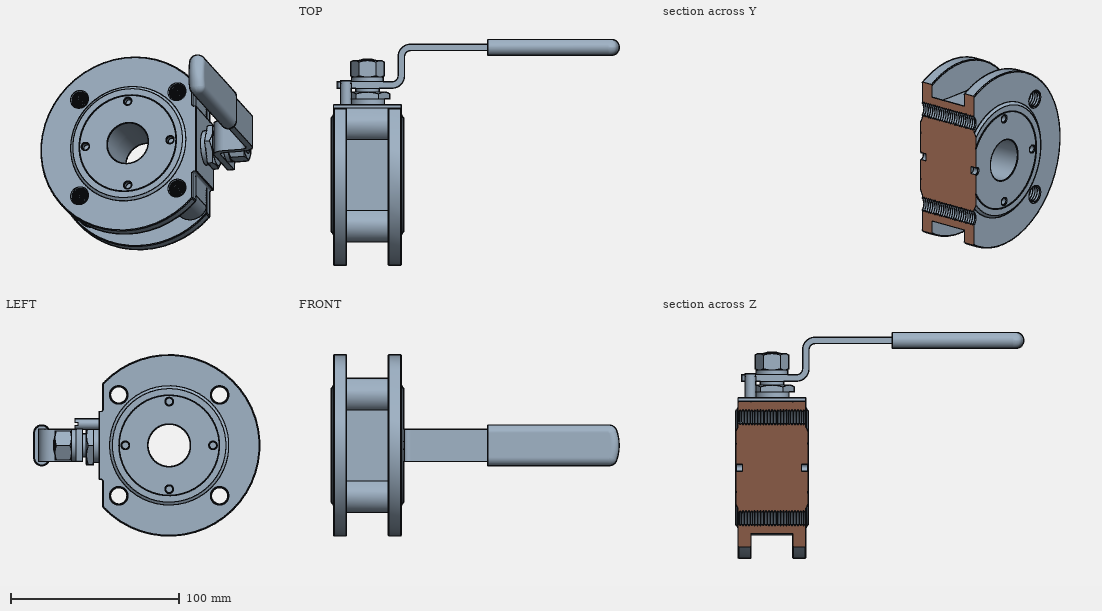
import cadquery as cq
import math


FLANGE_DIAMETER = 108.0
FLANGE_OUTER_X = 20.2
FLANGE_INNER_X = 12.3
FLANGE_FLAT_Y = 39.6
FLANGE_EDGE = 0.5
RAISED_FACE_X = 21.6
RAISED_FACE_DIAMETER = 71.0
RAISED_FACE_CHAMFER = 1.2
RAISED_FACE_CHAMFER_RADIAL = 1.7
CORE_HALF_SIZE = 34.6
BORE_DIAMETER = 25.0
BORE_CHAMFER = 0.3

SEAT_DIAMETER = 60.0
SEAT_GROOVE_WIDTH = 0.3
SEAT_GROOVE_DEPTH = 0.3
SPANNER_HOLE_DIAMETER = 4.1
SPANNER_HOLE_DEPTH = 4.0
SPANNER_HOLE_CHAMFER = 0.5
SPANNER_CIRCLE_RADIUS = 26.0

BOLT_OFFSET = 30.0
BOLT_PLACES = [(y, z) for y in (-BOLT_OFFSET, BOLT_OFFSET) for z in (-BOLT_OFFSET, BOLT_OFFSET)]
BOSS_DIAMETER = 20.0
THREAD_MINOR_DIAMETER = 9.6
THREAD_MAJOR_DIAMETER = 12.0
THREAD_PITCH = 1.7

PAD_TOP_Y = 41.8
PAD_EDGE = 0.3
PAD_ROOT_RADIUS = 0.9
PAD_HALF_Z = 20.2
GLAND_TOP_Y = 45.1
GLAND_DIAMETER = 20.5
LOCK_NUT_TOP_Y = 49.4
LOCK_NUT_ACROSS_FLATS = 23.1
COLLAR_DIAMETER = 14.0
LEVER_BOTTOM_Y = 51.5
LEVER_THICKNESS = 4.0
LEVER_TOP_Y = LEVER_BOTTOM_Y + LEVER_THICKNESS
WASHER_TOP_Y = 58.1
WASHER_DIAMETER = 19.0
TOP_NUT_TOP_Y = 67.9
TOP_NUT_ACROSS_FLATS = 17.3
NUT_CHAMFER_ANGLE = math.radians(30)
LOCK_NUT_CHAMFER = 2.2
TOP_NUT_CHAMFER = 1.4
STEM_TOP_Y = 68.7
STEM_DIAMETER = 10.3
STEM_TIP_CHAMFER = 0.7
STEM_TIP_DIAMETER = 5.1

PIN_DIAMETER = 6.5
PIN_X = -12.9
PIN_Z = 12.7
PIN_TOP_Y = 56.0
PIN_SLOT_WIDTH = 1.7
PIN_SLOT_DEPTH = 1.7

LEVER_WIDTH = 19.2
LEVER_END_X = -18.2
LEVER_END_RADIUS = 44.5
LEVER_END_FILLET = 0.9
RISER_LEFT_X = 18.2
BEND_INNER_RADIUS = 3.6
BEND_OUTER_RADIUS = BEND_INNER_RADIUS + LEVER_THICKNESS
GRIP_THICKNESS = 9.6
GRIP_TOP_Y = 80.5
GRIP_MIDDLE_Y = GRIP_TOP_Y - GRIP_THICKNESS / 2
GRIP_START_X = 71.3
OVERALL_LENGTH = 171.5
GRIP_TIP_X = OVERALL_LENGTH - RAISED_FACE_X
GRIP_WIDTH = 24.3
GRIP_END_BULGE = 3.0
GRIP_CORNER_RADIUS = 5.0
GRIP_EDGE_RADIUS = 4.71
GRIP_START_CHAMFER = 0.5


def rod_along_x(diameter, start_x, end_x, y=0, z=0):
    return cq.Workplane("YZ", origin=(start_x, y, z)).circle(diameter / 2).extrude(end_x - start_x)


def rod_along_y(diameter, start_y, end_y, x=0, z=0):
    plane = cq.Plane(origin=(x, start_y, z), xDir=(1, 0, 0), normal=(0, 1, 0))
    return cq.Workplane(plane).circle(diameter / 2).extrude(end_y - start_y)


def block(x_range, y_range, z_range):
    size = [high - low for low, high in (x_range, y_range, z_range)]
    corner = (x_range[0], y_range[0], z_range[0])
    return cq.Workplane().box(*size, centered=False).translate(corner)


def tapered_rod_along_y(diameter, end_diameter, taper, start_y, end_y):
    """Rod around the stem axis that narrows to end_diameter over its last stretch."""
    outline = (
        cq.Workplane("XY")
        .moveTo(0, start_y)
        .lineTo(diameter / 2, start_y)
        .lineTo(diameter / 2, end_y - taper)
        .lineTo(end_diameter / 2, end_y)
        .lineTo(0, end_y)
        .close()
    )
    return outline.revolve(360, (0, 0, 0), (0, 1, 0))


def coned_nut(across_flats, chamfer, bottom_y, top_y):
    """Hexagon around the stem with two corners on the X axis and a coned top."""
    corner_diameter = 2 * across_flats / math.sqrt(3)
    plane = cq.Plane(origin=(0, bottom_y, 0), xDir=(1, 0, 0), normal=(0, 1, 0))
    hexagon = cq.Workplane(plane).polygon(6, corner_diameter).extrude(top_y - bottom_y)
    cone_height = chamfer * math.tan(NUT_CHAMFER_ANGLE)
    cone_top_diameter = corner_diameter - 2 * chamfer
    return hexagon.intersect(
        tapered_rod_along_y(corner_diameter, cone_top_diameter, cone_height, bottom_y, top_y)
    )


def flange(side):
    """Round flange with a flat on +Y and a chamfered raised face; side is -1 or +1 along X."""
    disc = rod_along_x(FLANGE_DIAMETER, side * FLANGE_INNER_X, side * FLANGE_OUTER_X)
    flange_span = (-FLANGE_DIAMETER, FLANGE_DIAMETER)
    waste = block(flange_span, (FLANGE_FLAT_Y, FLANGE_DIAMETER), flange_span)
    disc = disc.cut(waste).edges().chamfer(FLANGE_EDGE)
    face = rod_along_x(RAISED_FACE_DIAMETER, side * FLANGE_INNER_X, side * RAISED_FACE_X)
    outer_end = ">X" if side > 0 else "<X"
    face = face.faces(outer_end).chamfer(RAISED_FACE_CHAMFER, RAISED_FACE_CHAMFER_RADIAL)
    return disc.union(face)


def hole_cutter(diameter, depth, chamfer, side, y=0, z=0):
    """Hole with a 45 degree chamfered mouth, sunk from one raised face."""
    mouth_x = side * RAISED_FACE_X
    hole = rod_along_x(diameter, side * (RAISED_FACE_X - depth), mouth_x, y, z)
    mouth = cq.Workplane("YZ", origin=(mouth_x, y, z)).circle(diameter / 2 + chamfer)
    return hole.union(mouth.extrude(-side * chamfer, taper=45))


def seat_features(side):
    """Ring groove and four blind spanner holes to cut from one raised face."""
    groove_x = side * (RAISED_FACE_X - SEAT_GROOVE_DEPTH)
    face_x = side * RAISED_FACE_X
    cutter = rod_along_x(SEAT_DIAMETER, groove_x, face_x)
    cutter = cutter.cut(rod_along_x(SEAT_DIAMETER - 2 * SEAT_GROOVE_WIDTH, groove_x, face_x))
    for y_step, z_step in ((1, 0), (0, 1), (-1, 0), (0, -1)):
        y = y_step * SPANNER_CIRCLE_RADIUS
        z = z_step * SPANNER_CIRCLE_RADIUS
        hole = hole_cutter(SPANNER_HOLE_DIAMETER, SPANNER_HOLE_DEPTH, SPANNER_HOLE_CHAMFER, side, y, z)
        cutter = cutter.union(hole)
    return cutter


def thread_cutter():
    """Through hole on the X axis with ring-shaped thread grooves from end to end."""
    minor_radius = THREAD_MINOR_DIAMETER / 2
    major_radius = THREAD_MAJOR_DIAMETER / 2
    grooves = math.ceil(2 * FLANGE_OUTER_X / THREAD_PITCH)
    start_x = -grooves * THREAD_PITCH / 2
    points = [(start_x, 0), (start_x, major_radius)]
    for groove in range(grooves):
        groove_x = start_x + groove * THREAD_PITCH
        points.append((groove_x + THREAD_PITCH / 2, minor_radius))
        points.append((groove_x + THREAD_PITCH, major_radius))
    points.append((-start_x, 0))
    return cq.Workplane("XY").polyline(points).close().revolve(360, (0, 0, 0), (1, 0, 0))


def stop_pin():
    pin = rod_along_y(PIN_DIAMETER, PAD_TOP_Y, PIN_TOP_Y, PIN_X, PIN_Z)
    slot = block(
        (PIN_X - PIN_DIAMETER, PIN_X + PIN_DIAMETER),
        (PIN_TOP_Y - PIN_SLOT_DEPTH, PIN_TOP_Y),
        (PIN_Z - PIN_SLOT_WIDTH / 2, PIN_Z + PIN_SLOT_WIDTH / 2),
    )
    return pin.cut(slot)


def stem_column():
    """Gland, lock nut, collar, stem, washer and top nut, stacked on the pad."""
    column = tapered_rod_along_y(
        STEM_DIAMETER, STEM_TIP_DIAMETER, STEM_TIP_CHAMFER, PAD_TOP_Y, STEM_TOP_Y
    )
    column = column.union(rod_along_y(GLAND_DIAMETER, PAD_TOP_Y, GLAND_TOP_Y))
    lock_nut = coned_nut(LOCK_NUT_ACROSS_FLATS, LOCK_NUT_CHAMFER, GLAND_TOP_Y, LOCK_NUT_TOP_Y)
    column = column.union(lock_nut)
    column = column.union(rod_along_y(COLLAR_DIAMETER, LOCK_NUT_TOP_Y, LEVER_BOTTOM_Y))
    column = column.union(rod_along_y(WASHER_DIAMETER, LEVER_TOP_Y, WASHER_TOP_Y))
    top_nut = coned_nut(TOP_NUT_ACROSS_FLATS, TOP_NUT_CHAMFER, WASHER_TOP_Y, TOP_NUT_TOP_Y)
    nut_middle_y = (WASHER_TOP_Y + TOP_NUT_TOP_Y) / 2
    turned_over = top_nut.rotate((0, nut_middle_y, 0), (1, nut_middle_y, 0), 180)
    return column.union(top_nut.intersect(turned_over))


def waist():
    """Core, bolt bosses and top plate that join the two flanges."""
    x_span = (-FLANGE_INNER_X, FLANGE_INNER_X)
    core_span = (-CORE_HALF_SIZE, CORE_HALF_SIZE)
    body = block(x_span, core_span, core_span)
    body = body.union(block(x_span, (0, FLANGE_FLAT_Y), (-BOLT_OFFSET, BOLT_OFFSET)))
    for y, z in BOLT_PLACES:
        body = body.union(rod_along_x(BOSS_DIAMETER, *x_span, y, z))
    above_flat = block(x_span, (FLANGE_FLAT_Y, FLANGE_DIAMETER), (-FLANGE_DIAMETER, FLANGE_DIAMETER))
    return body.cut(above_flat)


def mounting_pad():
    """Square pad on the flats, chamfered on top and filleted into the flats along its Z sides."""
    pad_root = PAD_HALF_Z + PAD_ROOT_RADIUS
    root_top_y = FLANGE_FLAT_Y + PAD_ROOT_RADIUS
    sink = PAD_ROOT_RADIUS * (1 - math.sqrt(0.5))
    outline = (
        cq.Workplane("ZY", origin=(FLANGE_OUTER_X, 0, 0))
        .moveTo(-pad_root, FLANGE_FLAT_Y)
        .threePointArc((-PAD_HALF_Z - sink, FLANGE_FLAT_Y + sink), (-PAD_HALF_Z, root_top_y))
        .lineTo(-PAD_HALF_Z, PAD_TOP_Y)
        .lineTo(PAD_HALF_Z, PAD_TOP_Y)
        .lineTo(PAD_HALF_Z, root_top_y)
        .threePointArc((PAD_HALF_Z + sink, FLANGE_FLAT_Y + sink), (pad_root, FLANGE_FLAT_Y))
        .lineTo(pad_root, CORE_HALF_SIZE)
        .lineTo(-pad_root, CORE_HALF_SIZE)
        .close()
    )
    return outline.extrude(2 * FLANGE_OUTER_X).faces(">Y").chamfer(PAD_EDGE)


def build_valve():
    valve = waist().union(flange(-1)).union(flange(1)).union(mounting_pad())
    thread = thread_cutter()
    for y, z in BOLT_PLACES:
        valve = valve.cut(thread.translate((0, y, z)))

    for side in (-1, 1):
        half_bore = hole_cutter(BORE_DIAMETER, RAISED_FACE_X, BORE_CHAMFER, side)
        valve = valve.cut(half_bore).cut(seat_features(side))
    return valve.union(stem_column()).union(stop_pin())


def lever_strip():
    """Flat strip bent twice, with an arched end around the stem."""
    upper_bottom_y = GRIP_MIDDLE_Y - LEVER_THICKNESS / 2
    upper_top_y = GRIP_MIDDLE_Y + LEVER_THICKNESS / 2
    riser_right_x = RISER_LEFT_X + LEVER_THICKNESS
    lower_bend_x = RISER_LEFT_X - BEND_INNER_RADIUS
    lower_bend_y = LEVER_TOP_Y + BEND_INNER_RADIUS
    upper_bend_x = riser_right_x + BEND_INNER_RADIUS
    upper_bend_y = upper_bottom_y - BEND_INNER_RADIUS
    diagonal = math.sqrt(0.5)
    inner_reach = BEND_INNER_RADIUS * diagonal
    outer_reach = BEND_OUTER_RADIUS * diagonal
    strip = (
        cq.Workplane("XY", origin=(0, 0, -LEVER_WIDTH / 2))
        .moveTo(LEVER_END_X, LEVER_BOTTOM_Y)
        .lineTo(lower_bend_x, LEVER_BOTTOM_Y)
        .threePointArc(
            (lower_bend_x + outer_reach, lower_bend_y - outer_reach), (riser_right_x, lower_bend_y)
        )
        .lineTo(riser_right_x, upper_bend_y)
        .threePointArc(
            (upper_bend_x - inner_reach, upper_bend_y + inner_reach), (upper_bend_x, upper_bottom_y)
        )
        .lineTo(GRIP_START_X, upper_bottom_y)
        .lineTo(GRIP_START_X, upper_top_y)
        .lineTo(upper_bend_x, upper_top_y)
        .threePointArc(
            (upper_bend_x - outer_reach, upper_bend_y + outer_reach), (RISER_LEFT_X, upper_bend_y)
        )
        .lineTo(RISER_LEFT_X, lower_bend_y)
        .threePointArc(
            (lower_bend_x + inner_reach, lower_bend_y - inner_reach), (lower_bend_x, LEVER_TOP_Y)
        )
        .lineTo(LEVER_END_X, LEVER_TOP_Y)
        .close()
        .extrude(LEVER_WIDTH)
    )
    half_width = LEVER_WIDTH / 2
    end_center_x = LEVER_END_X + LEVER_END_RADIUS
    end_disc = rod_along_y(2 * LEVER_END_RADIUS, LEVER_BOTTOM_Y, LEVER_TOP_Y, end_center_x)
    beyond_stem = block((0, GRIP_TIP_X), (LEVER_BOTTOM_Y, GRIP_TOP_Y), (-half_width, half_width))
    strip = strip.intersect(end_disc.union(beyond_stem))
    return strip.edges("|Y").edges("<X").fillet(LEVER_END_FILLET)


def grip():
    """Flat bar with fully rounded sides and a slightly bulged, rounded tip."""
    half_width = GRIP_WIDTH / 2
    shoulder_x = GRIP_TIP_X - GRIP_END_BULGE
    plane = cq.Plane(origin=(0, GRIP_TOP_Y, 0), xDir=(1, 0, 0), normal=(0, -1, 0))
    bar = (
        cq.Workplane(plane)
        .moveTo(GRIP_START_X, -half_width)
        .lineTo(shoulder_x, -half_width)
        .threePointArc((GRIP_TIP_X, 0), (shoulder_x, half_width))
        .lineTo(GRIP_START_X, half_width)
        .close()
        .extrude(GRIP_THICKNESS)
    )
    bar = bar.edges("|Y").edges(">X").fillet(GRIP_CORNER_RADIUS)
    bar = bar.faces("<Y or >Y").edges("not <X").fillet(GRIP_EDGE_RADIUS)
    return bar.faces("<X").chamfer(GRIP_START_CHAMFER)


def build_handle():
    stem_hole = rod_along_y(STEM_DIAMETER, LEVER_BOTTOM_Y, LEVER_TOP_Y)
    return lever_strip().cut(stem_hole).union(grip())


valve = build_valve()
handle = build_handle()

result = cq.Compound.makeCompound([valve.val(), handle.val()])